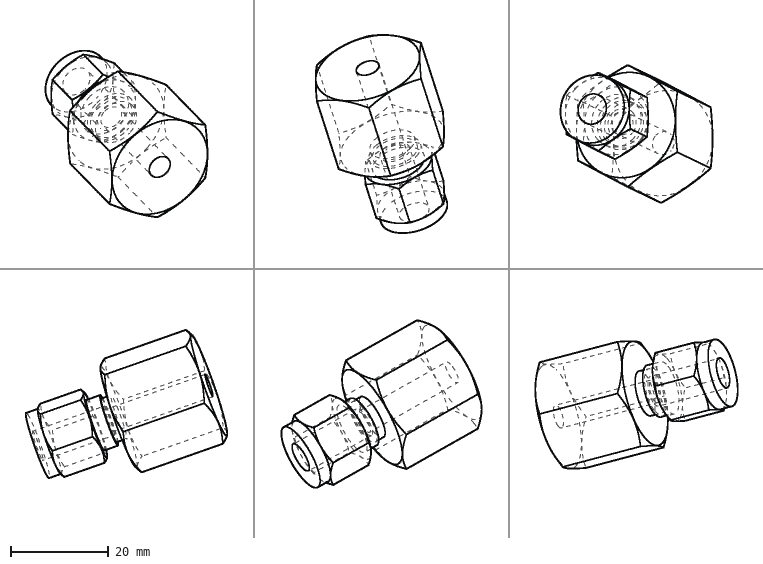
import cadquery as cq
import math

total_length = 37.6

collar_end = 2.6
nut_end = 12.7
shoulder_end = 15.68
neck_end = 17.78

nut_flats = 14.32
nut_face_diameter = 14.3
body_flats = 22.2
body_face_diameter = 22.1
shoulder_diameter = 11.1
neck_diameter = 9.6

collar_diameter = nut_face_diameter

socket_diameter = 6.35
socket_depth = shoulder_end
passage_diameter = 4.85

chamfer_angle = math.radians(30)


def cylinder(start, end, diameter):
    """Round bar on the X axis from start to end."""
    return cq.Workplane("YZ", origin=(start, 0, 0)).circle(diameter / 2).extrude(end - start)


def chamfered_hexagon(start, end, flats, face_diameter):
    """Hexagonal bar with corners at +Z and -Z, both ends turned down to a round face."""
    corner_radius = flats / 2 / math.cos(math.pi / 6)
    face_radius = face_diameter / 2
    chamfer_length = (corner_radius - face_radius) * math.tan(chamfer_angle)

    bar = (
        cq.Workplane("YZ", origin=(start, 0, 0))
        .transformed(rotate=(0, 0, 90))
        .polygon(6, 2 * corner_radius)
        .extrude(end - start)
    )
    envelope = (
        cq.Workplane("XY")
        .moveTo(start, 0)
        .lineTo(start, face_radius)
        .lineTo(start + chamfer_length, corner_radius)
        .lineTo(end - chamfer_length, corner_radius)
        .lineTo(end, face_radius)
        .lineTo(end, 0)
        .close()
        .revolve(360, (0, 0, 0), (1, 0, 0))
    )
    return bar.intersect(envelope)


collar = cylinder(0, collar_end, collar_diameter)
nut = chamfered_hexagon(collar_end, nut_end, nut_flats, nut_face_diameter)
shoulder = cylinder(nut_end, shoulder_end, shoulder_diameter)
neck = cylinder(shoulder_end, neck_end, neck_diameter)
body = chamfered_hexagon(neck_end, total_length, body_flats, body_face_diameter)
fitting = collar.union(nut).union(shoulder).union(neck).union(body)

socket = cylinder(0, socket_depth, socket_diameter)
passage = cylinder(0, total_length, passage_diameter)
result = fitting.cut(socket).cut(passage)